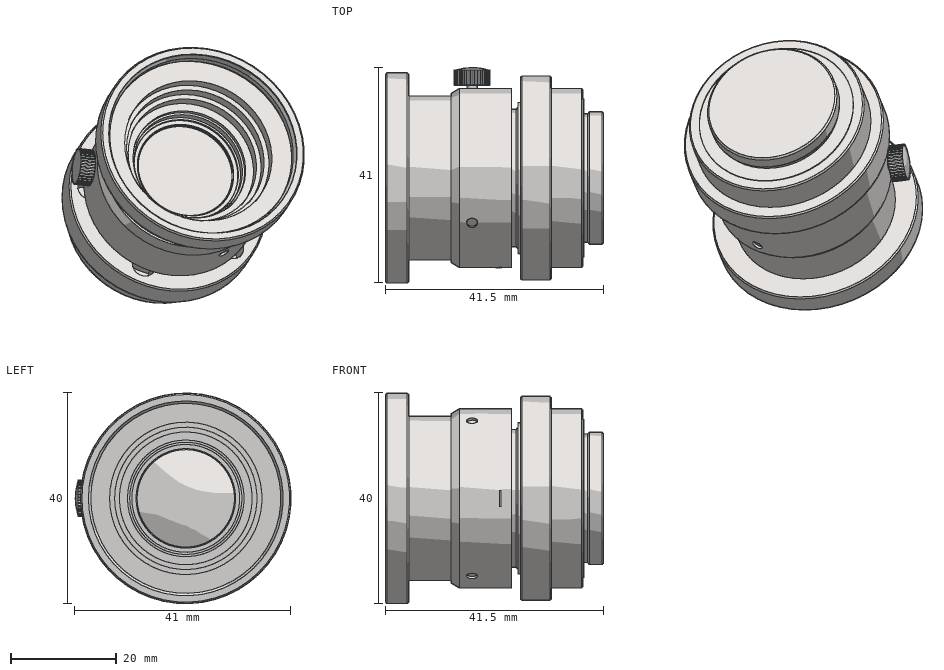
import cadquery as cq
import math


rim_radius = 40.0 / 2
rim_end = 4.45
edge_break = 0.3

sleeve_radius = 15.65

barrel_start = 12.5
barrel_cone_end = 14.05
barrel_cone_radius = 16.1
barrel_radius = 17.05
barrel_end = 23.95

neck_radius = 13.1
neck_end = 24.8
collar_start = 25.15
collar_foot_radius = 13.47
collar_radius = 14.4

ring_start = 25.62
ring_end = 31.5
ring_radius = 19.4

housing_end = 37.52
pad_radius = 15.0
pad_end = 37.7
mount_neck_radius = 12.25
mount_neck_end = 38.4
mount_radius = 12.6
mount_edge_break = 0.35
overall_length = 41.45

mouth_radius = 18.5
mouth_depth = 0.35
seat_radius = 18.05
seat_taper_end = 1.05
undercut_start = 2.32
cavity_floor = 3.5
baffle_radii = (14.45, 13.5, 12.6)
baffle_step_depth = 2.2

retainer_steps = ((11.05, 0.83), (10.65, 1.4), (10.25, 0.45), (9.45, 0.3), (9.25, 0.3))
glass_sagitta = 1.82

ring_hole_count = 5
ring_hole_radius = 4.5 / 2
ring_hole_circle_radius = 15.5
ring_hole_depth = 4.98

barrel_hole_x = 16.45
barrel_hole_radius = 2.05 / 2
barrel_hole_depth = 0.5
barrel_hole_angles = (120, 240)

knob_radius = 3.45
knob_bottom = 17.58
knob_shoulder = 20.5
knob_rise = 1.0
knob_top = rim_radius + knob_rise
knob_dome_radius = 3.25
knob_edge_break = 0.15
stem_radius = 2.0 / 2
stem_root = 14.5
knurl_count = 36
knurl_radius = 0.15

mark_x = 21.8
mark_width = 0.25
mark_length = 3.05
mark_depth = 0.15


def revolve_about_x(profile):
    """Revolve a closed profile, drawn as (X, radius), about the X axis."""
    return profile.close().revolve(360, (0, 0, 0), (1, 0, 0))


def cap_drop(base_radius, rise, radius):
    """Drop from the apex of a spherical cap to its surface at a given radius."""
    sphere_radius = (base_radius**2 + rise**2) / (2 * rise)
    return sphere_radius - math.sqrt(sphere_radius**2 - radius**2)


def make_body():
    """Solid outer shape without the clamp ring."""
    points = [
        (0, 0),
        (0, rim_radius - edge_break),
        (edge_break, rim_radius),
        (rim_end - edge_break, rim_radius),
        (rim_end, rim_radius - edge_break),
        (rim_end, sleeve_radius),
        (barrel_start, sleeve_radius),
        (barrel_start, barrel_cone_radius),
        (barrel_cone_end, barrel_radius),
        (barrel_end, barrel_radius),
        (barrel_end, neck_radius),
        (neck_end, neck_radius),
        (collar_start, collar_foot_radius),
        (collar_start, collar_radius),
        (ring_end - edge_break, collar_radius),
        (ring_end - edge_break, barrel_radius),
        (housing_end - edge_break, barrel_radius),
        (housing_end, barrel_radius - edge_break),
        (housing_end, pad_radius),
        (pad_end, pad_radius),
        (pad_end, mount_neck_radius),
        (mount_neck_end, mount_neck_radius),
        (mount_neck_end + mount_edge_break, mount_radius),
        (overall_length - mount_edge_break, mount_radius),
        (overall_length, mount_radius - mount_edge_break),
        (overall_length, 0),
    ]
    return revolve_about_x(cq.Workplane("XY").polyline(points))


def make_clamp_ring():
    """Clamp ring with its blind holes; the collar of the body fills its bore."""
    ring = (
        cq.Workplane("YZ", origin=(ring_start, 0, 0))
        .circle(ring_radius)
        .extrude(ring_end - ring_start)
        .edges()
        .chamfer(edge_break)
    )
    holes = (
        cq.Workplane("YZ", origin=(ring_start, 0, 0))
        .polarArray(ring_hole_circle_radius, 0, 360, ring_hole_count)
        .circle(ring_hole_radius)
        .extrude(ring_hole_depth)
    )
    return ring.cut(holes)


def make_cavity():
    """Front cavity, ending on the convex face of the front glass."""
    points = [
        (0, mouth_radius),
        (mouth_depth, mouth_radius),
        (seat_taper_end, seat_radius),
        (undercut_start, seat_radius),
        (undercut_start, mouth_radius),
        (cavity_floor, mouth_radius),
    ]
    steps = [(radius, baffle_step_depth) for radius in baffle_radii]
    steps.extend(retainer_steps)
    depth = cavity_floor
    for radius, step_depth in steps:
        points.append((depth, radius))
        depth += step_depth
        points.append((depth, radius))

    glass_radius = points[-1][1]
    glass_apex = depth - glass_sagitta
    mid_radius = glass_radius / 2
    mid_depth = glass_apex + cap_drop(glass_radius, glass_sagitta, mid_radius)

    profile = (
        cq.Workplane("XY")
        .polyline([(0, 0)] + points)
        .threePointArc((mid_depth, mid_radius), (glass_apex, 0))
    )
    return revolve_about_x(profile)


def make_barrel_hole(angle):
    """Radial blind hole in the barrel, at an angle about X measured from +Y."""
    hole = (
        cq.Workplane("XZ", origin=(barrel_hole_x, barrel_radius - barrel_hole_depth, 0))
        .circle(barrel_hole_radius)
        .extrude(-2 * barrel_hole_depth)
    )
    return hole.rotate((0, 0, 0), (1, 0, 0), angle)


def make_thumbscrew():
    """Knurled thumbscrew with a domed head, its axis along +Y."""
    mid_radius = knob_dome_radius / 2
    mid_height = knob_top - cap_drop(knob_dome_radius, knob_top - knob_shoulder, mid_radius)
    screw = (
        cq.Workplane("XY")
        .moveTo(0, stem_root)
        .lineTo(stem_radius, stem_root)
        .lineTo(stem_radius, knob_bottom)
        .lineTo(knob_radius - knob_edge_break, knob_bottom)
        .lineTo(knob_radius, knob_bottom + knob_edge_break)
        .lineTo(knob_radius, knob_shoulder)
        .lineTo(knob_dome_radius, knob_shoulder)
        .threePointArc((mid_radius, mid_height), (0, knob_top))
        .close()
        .revolve(360, (0, 0, 0), (0, 1, 0))
    )
    knurls = (
        cq.Workplane("XZ", origin=(0, knob_bottom, 0))
        .polarArray(knob_radius, 0, 360, knurl_count)
        .circle(knurl_radius)
        .extrude(knob_bottom - knob_shoulder)
    )
    return screw.cut(knurls).translate((barrel_hole_x, 0, 0))


def make_index_mark():
    """Thin engraved line along Z on the -Y side of the barrel."""
    return (
        cq.Workplane("YZ", origin=(mark_x, 0, 0))
        .circle(barrel_radius + mark_depth)
        .circle(barrel_radius - mark_depth)
        .extrude(mark_width / 2, both=True)
        .intersect(
            cq.Workplane("XY")
            .box(mark_width, barrel_radius, mark_length)
            .translate((mark_x, -barrel_radius, 0))
        )
    )


result = make_body().union(make_clamp_ring()).cut(make_cavity())
for hole_angle in barrel_hole_angles:
    result = result.cut(make_barrel_hole(hole_angle))
result = result.cut(make_index_mark()).union(make_thumbscrew())